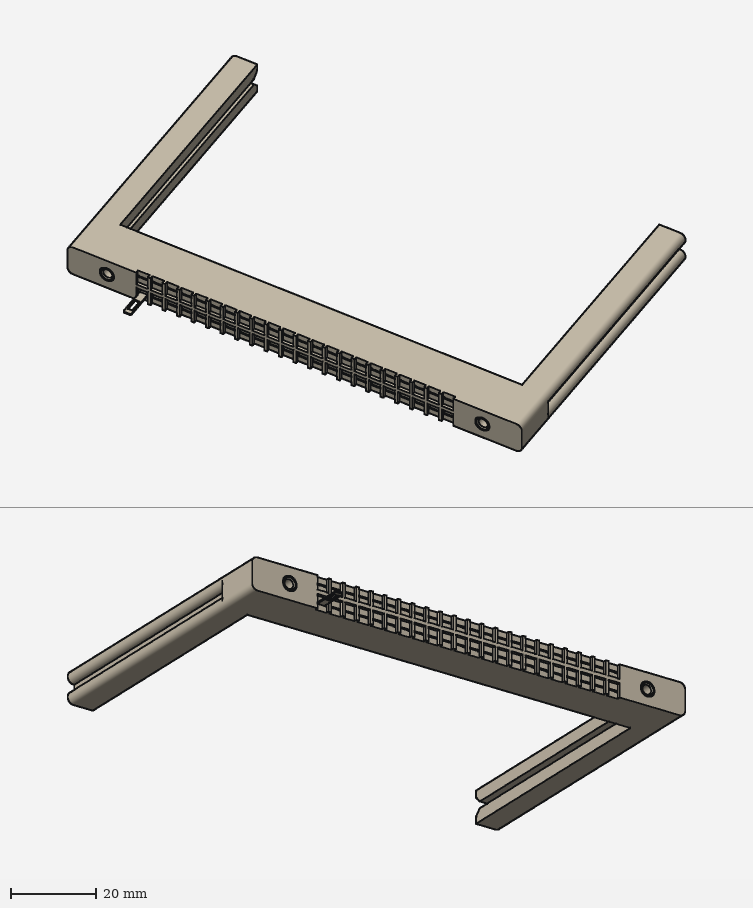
import cadquery as cq


LENGTH = 123.8
HEIGHT = 8.7
TOTAL_DEPTH = 83.3
CONTACT_REACH = 6.9
HOUSING_DEPTH = TOTAL_DEPTH - CONTACT_REACH
CROSSBAR_DEPTH = 12.4
ARM_WIDTH = 7.2
ARM_LENGTH = HOUSING_DEPTH - CROSSBAR_DEPTH
LIP_RADIUS = 1.6

GROOVE_HEIGHT = 2.0
GROOVE_DEPTH = 1.9

CARD_SLOT_HEIGHT = 1.7
CARD_SLOT_DEPTH = 3.2
LEAD_IN = 1.6

CELL_COUNT = 22
CELL_PITCH = 4.0
CELL_WALL = 0.8
CELL_WIDTH = CELL_PITCH - CELL_WALL
CELL_DEPTH = 0.9
MIDDLE_RIB = 1.1
CELL_HEIGHT = (HEIGHT - MIDDLE_RIB) / 2

SLIT_WIDTH = 3.0
SLIT_HEIGHT = 0.4
SLIT_DEPTH = 5.0
SLIT_Z = 2.5

CONTACT_WIDTH = 2.1
CONTACT_TIP_RADIUS = 0.4
EYE_WIDTH = 1.2
EYE_LENGTH = 3.5
EYE_FROM_TIP = 1.4

BUSHING_FROM_END = 10.8
BUSHING_X = LENGTH / 2 - BUSHING_FROM_END
BUSHING_DIAMETER = 4.0
BUSHING_BORE = 2.5
BUSHING_CHAMFER = 0.4
BUSHING_DEPTH = 7.4


def box(width, depth, height, x, y, z):
    """Box centred on x and z whose near face is at y."""
    return cq.Workplane("XY").box(width, depth, height, centered=(True, False, True)).translate((x, y, z))


def cylinder(diameter, depth, x):
    """Cylinder running from the mating face into the housing."""
    return cq.Workplane("XZ").center(x, 0).circle(diameter / 2).extrude(-depth)


def cell_x(index):
    """Centre of a cell along the crossbar."""
    return (index - (CELL_COUNT - 1) / 2) * CELL_PITCH


def make_frame():
    """U-shaped frame with rounded outer long edges."""
    frame = box(LENGTH, HOUSING_DEPTH, HEIGHT, 0, 0, 0).edges("|Y").fillet(LIP_RADIUS)
    return frame.cut(box(LENGTH - 2 * ARM_WIDTH, ARM_LENGTH, HEIGHT, 0, CROSSBAR_DEPTH, 0))


def outer_groove(side):
    """Groove along the outer side of one arm, with a rounded lip above and below its mouth."""
    outer = side * LENGTH / 2
    floor = outer - side * GROOVE_DEPTH
    bend = outer - side * LIP_RADIUS
    half = GROOVE_HEIGHT / 2
    half_mouth = half + LIP_RADIUS
    profile = (
        cq.Workplane("XZ", origin=(0, CROSSBAR_DEPTH, 0))
        .moveTo(floor, -half)
        .lineTo(floor, half)
        .lineTo(bend, half)
        .radiusArc((outer, half_mouth), -side * LIP_RADIUS)
        .lineTo(outer, -half_mouth)
        .radiusArc((bend, -half), -side * LIP_RADIUS)
        .close()
    )
    return profile.extrude(-ARM_LENGTH)


def card_slot(side):
    """Card slot along the inner side of one arm, widening at the arm tip to lead the card in."""
    half = CARD_SLOT_HEIGHT / 2
    half_tip = half + LEAD_IN
    inner = side * (LENGTH / 2 - ARM_WIDTH)
    profile = (
        cq.Workplane("YZ", origin=(inner, 0, 0))
        .moveTo(CROSSBAR_DEPTH, -half)
        .lineTo(HOUSING_DEPTH - LEAD_IN, -half)
        .lineTo(HOUSING_DEPTH, -half_tip)
        .lineTo(HOUSING_DEPTH, half_tip)
        .lineTo(HOUSING_DEPTH - LEAD_IN, half)
        .lineTo(CROSSBAR_DEPTH, half)
        .close()
    )
    return profile.extrude(side * CARD_SLOT_DEPTH)


def contact_cell(index, row):
    """Shallow cell open to the top or bottom, with a contact slit in its floor."""
    x = cell_x(index)
    cell = box(CELL_WIDTH, CELL_DEPTH, CELL_HEIGHT, x, 0, row * (HEIGHT - CELL_HEIGHT) / 2)
    return cell.union(box(SLIT_WIDTH, CELL_DEPTH + SLIT_DEPTH, SLIT_HEIGHT, x, 0, row * SLIT_Z))


def make_housing():
    """Frame with its grooves, card slots, bushing recesses and contact cells."""
    housing = make_frame()
    for side in (-1, 1):
        housing = housing.cut(outer_groove(side)).cut(card_slot(side))
        housing = housing.cut(cylinder(BUSHING_DIAMETER, BUSHING_DEPTH, side * BUSHING_X))
    for index in range(CELL_COUNT):
        for row in (-1, 1):
            housing = housing.cut(contact_cell(index, row))
    return housing


def make_contact():
    """Flat blade in the first lower slit, with a rounded tip and an eye."""
    x = cell_x(0)
    blade_length = CONTACT_REACH + CELL_DEPTH + SLIT_DEPTH
    blade = box(CONTACT_WIDTH, blade_length, SLIT_HEIGHT, x, -CONTACT_REACH, -SLIT_Z)
    blade = blade.faces("<Y").edges("|Z").fillet(CONTACT_TIP_RADIUS)
    eye = box(EYE_WIDTH, EYE_LENGTH, SLIT_HEIGHT, x, EYE_FROM_TIP - CONTACT_REACH, -SLIT_Z)
    return blade.cut(eye)


def make_bushing(side):
    """Bushing flush with the mating face, with a chamfered bore mouth."""
    x = side * BUSHING_X
    bushing = cylinder(BUSHING_DIAMETER, BUSHING_DEPTH, x).cut(cylinder(BUSHING_BORE, BUSHING_DEPTH, x))
    bore_mouth = cq.selectors.RadiusNthSelector(0)
    return bushing.faces("<Y").edges(bore_mouth).chamfer(BUSHING_CHAMFER)


housing = make_housing()
contact = make_contact()
bushings = [make_bushing(side) for side in (-1, 1)]

result = cq.Compound.makeCompound(
    [housing.val(), contact.val(), *[bushing.val() for bushing in bushings]]
)